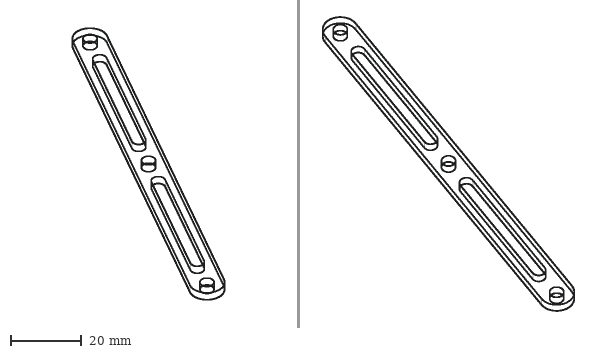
import cadquery as cq

bar_length = 130.0
bar_width = 10.0
bar_thickness = 2.5

hole_diameter = 4.0
end_hole_x = (bar_length - bar_width) / 2

slot_length = 44.0
slot_width = hole_diameter
slot_x = end_hole_x / 2


def make_bar():
    """Flat bar with full-radius ends, resting on Z = 0."""
    return cq.Workplane("XY").slot2D(bar_length, bar_width).extrude(bar_thickness)


def cut_holes(body):
    """Three round through holes along the centreline."""
    centres = [(-end_hole_x, 0), (0, 0), (end_hole_x, 0)]
    cutter = cq.Workplane("XY").pushPoints(centres).circle(hole_diameter / 2).extrude(bar_thickness)
    return body.cut(cutter)


def cut_slots(body):
    """Two lengthwise through slots with rounded ends."""
    centres = [(-slot_x, 0), (slot_x, 0)]
    cutter = cq.Workplane("XY").pushPoints(centres).slot2D(slot_length, slot_width).extrude(bar_thickness)
    return body.cut(cutter)


result = cut_slots(cut_holes(make_bar()))